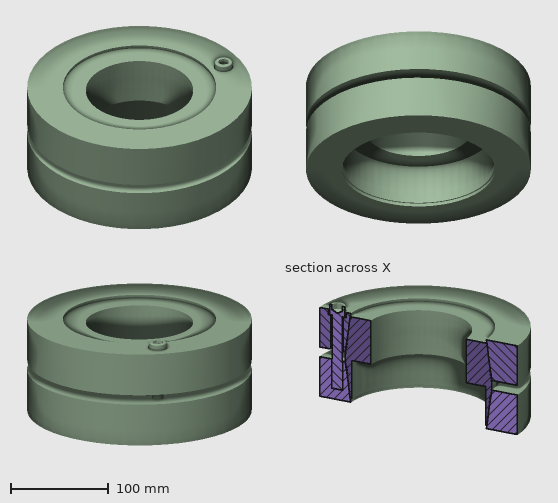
import cadquery as cq
import math


disc_diameter = 230.0
disc_thickness = 44.0
disc_gap = 10.1
total_thickness = 2 * disc_thickness + disc_gap
mid_height = total_thickness / 2

cone_peak_radius = 85.5
cone_mouth_radius = 78.5
cone_slope = (cone_peak_radius - cone_mouth_radius) / mid_height

ring_recess = 3.7
upper_bore_diameter = 110.0
lower_bore_diameter = 155.0
bore_step_drop = 3.0
bore_step_height = mid_height - bore_step_drop

screw_offset = 94.3
screw_diameter = 12.0
screw_length = 80.0
head_diameter = 18.0
head_height = 12.0
head_protrusion = 6.0
head_fillet = 1.2
socket_across_flats = 10.1
socket_depth = 6.0
socket_cone_depth = 2.8

clearance_diameter = 14.0
counterbore_diameter = 20.0
head_seat_height = total_thickness + head_protrusion - head_height
screw_end_height = head_seat_height - screw_length


def cone_radius(height):
    """Radius of the double cone at a height above the base."""
    return cone_peak_radius - cone_slope * abs(height - mid_height)


def screw_axis_cylinder(diameter, bottom, top):
    """Cylinder on the screw axis between two heights."""
    return (
        cq.Workplane("XY", origin=(0, screw_offset, bottom))
        .circle(diameter / 2)
        .extrude(top - bottom)
    )


def revolve_section(points):
    """Solid of revolution about Z from (radius, height) points."""
    return cq.Workplane("XZ").polyline(points).close().revolve(360, (0, 0), (0, 1))


def clamping_disc(bottom):
    """Flat disc whose tapered bore follows the double cone."""
    top = bottom + disc_thickness
    return revolve_section([
        (cone_radius(bottom), bottom),
        (disc_diameter / 2, bottom),
        (disc_diameter / 2, top),
        (cone_radius(top), top),
    ])


def make_lower_disc():
    """Disc with a blind hole that holds the end of the screw."""
    hole = screw_axis_cylinder(screw_diameter, screw_end_height, disc_thickness)
    return clamping_disc(0).cut(hole)


def make_upper_disc():
    """Disc with a counterbored clearance hole for the screw."""
    bottom = disc_thickness + disc_gap
    hole = screw_axis_cylinder(clearance_diameter, bottom, total_thickness)
    counterbore = screw_axis_cylinder(counterbore_diameter, head_seat_height, total_thickness)
    return clamping_disc(bottom).cut(hole).cut(counterbore)


def make_ring():
    """Double-cone ring with a stepped bore, recessed below both disc faces."""
    bottom = ring_recess
    top = total_thickness - ring_recess
    return revolve_section([
        (lower_bore_diameter / 2, bottom),
        (cone_radius(bottom), bottom),
        (cone_peak_radius, mid_height),
        (cone_radius(top), top),
        (upper_bore_diameter / 2, top),
        (upper_bore_diameter / 2, bore_step_height),
        (lower_bore_diameter / 2, bore_step_height),
    ])


def make_socket(top):
    """Hexagonal socket, corners along Y, with a conical floor."""
    corner_radius = socket_across_flats / math.sqrt(3)
    floor = top - socket_depth
    hexagon = (
        cq.Workplane("XY", origin=(0, screw_offset, floor))
        .polygon(6, 2 * corner_radius)
        .extrude(socket_depth)
        .rotate((0, screw_offset, 0), (0, screw_offset, 1), 30)
    )
    cone = cq.Solid.makeCone(
        socket_across_flats / 2, 0, socket_cone_depth,
        pnt=cq.Vector(0, screw_offset, floor), dir=cq.Vector(0, 0, -1),
    )
    return hexagon.union(cone)


def make_screw():
    """Cap screw seated in the upper disc and reaching into the lower disc."""
    head_top = head_seat_height + head_height
    head = screw_axis_cylinder(head_diameter, head_seat_height, head_top)
    head = head.faces(">Z").edges().fillet(head_fillet)
    shank = screw_axis_cylinder(screw_diameter, screw_end_height, head_seat_height)
    return head.union(shank).cut(make_socket(head_top))


lower_disc = make_lower_disc()
upper_disc = make_upper_disc()
ring = make_ring()
screw = make_screw()

result = cq.Compound.makeCompound([
    lower_disc.val(),
    upper_disc.val(),
    ring.val(),
    screw.val(),
])